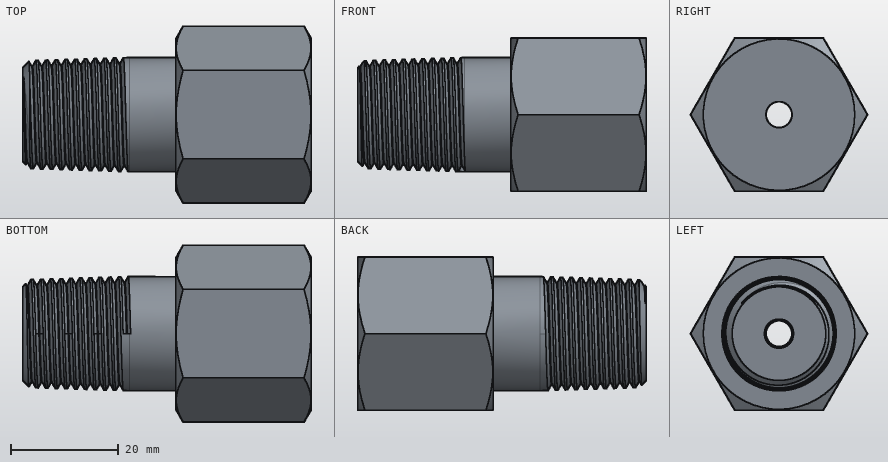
import cadquery as cq
import math

length = 53.85
hex_sides = 6
hex_across_flats = 28.6
hex_start = 28.55
hex_face_diameter = 28.2
hex_chamfer_angle = 30.0

shank_diameter = 21.3
nose_diameter = 17.45
thread_length = 19.9
diameter_taper = 1 / 16
nose_chamfer_angle = 45.0

thread_turns = 11
groove_angle = 60.0
groove_depth = 1.1
groove_root_width = 0.15
groove_end = 19.45
groove_overlap = 0.1
groove_sections = 4
turns_per_section = 3

bore_diameter = 4.8
bore_mouth_diameter = 5.45

pitch = thread_length / thread_turns
section_length = turns_per_section * pitch
hex_across_corners = hex_across_flats / math.cos(math.pi / hex_sides)


def crest_radius(x):
    """Radius of the tapered thread crest at a distance x from the male end."""
    return (shank_diameter - diameter_taper * (thread_length - x)) / 2


def make_hexagon():
    """Hexagon with corners on the Y axis and both ends turned to a cone."""
    prism = (
        cq.Workplane("YZ", origin=(hex_start, 0, 0))
        .polygon(hex_sides, hex_across_corners)
        .extrude(length - hex_start)
    )
    face_radius = hex_face_diameter / 2
    corner_radius = hex_across_corners / 2
    chamfer_length = (corner_radius - face_radius) * math.tan(math.radians(hex_chamfer_angle))
    envelope = (
        cq.Workplane("XY")
        .moveTo(hex_start, 0)
        .lineTo(hex_start, face_radius)
        .lineTo(hex_start + chamfer_length, corner_radius)
        .lineTo(length - chamfer_length, corner_radius)
        .lineTo(length, face_radius)
        .lineTo(length, 0)
        .close()
        .revolve(360, (0, 0, 0), (1, 0, 0))
    )
    return prism.intersect(envelope)


def make_male_end():
    """Chamfered nose, tapered thread blank and cylindrical shank."""
    nose_radius = nose_diameter / 2
    nose_slope = math.tan(math.radians(nose_chamfer_angle))
    chamfer_length = (crest_radius(0) - nose_radius) / (nose_slope - diameter_taper / 2)
    return (
        cq.Workplane("XY")
        .moveTo(0, 0)
        .lineTo(0, nose_radius)
        .lineTo(chamfer_length, crest_radius(chamfer_length))
        .lineTo(thread_length, shank_diameter / 2)
        .lineTo(hex_start, shank_diameter / 2)
        .lineTo(hex_start, 0)
        .close()
        .revolve(360, (0, 0, 0), (1, 0, 0))
    )


def make_groove_section(section_start):
    """A few turns of the V groove, starting and ending at the bottom of the thread."""
    root_radius = crest_radius(section_start) - groove_depth
    mouth_radius = crest_radius(section_start) + groove_overlap
    root_half = groove_root_width / 2
    mouth_half = root_half + (mouth_radius - root_radius) * math.tan(math.radians(groove_angle / 2))
    taper_angle = math.degrees(math.atan(diameter_taper / 2))
    corners = [
        (root_radius, -root_half),
        (mouth_radius, -mouth_half),
        (mouth_radius, mouth_half),
        (root_radius, root_half),
    ]

    edges = [
        cq.Wire.makeHelix(pitch, section_length, radius, angle=taper_angle)
        .translate(cq.Vector(0, 0, offset))
        for radius, offset in corners
    ]
    faces = [cq.Face.makeRuledSurface(edges[i - 1], edges[i]) for i in range(len(edges))]
    for end in (0, 1):
        end_corners = [edge.positionAt(end) for edge in edges]
        faces.append(cq.Face.makeFromWires(cq.Wire.makePolygon(end_corners, close=True)))
    groove = cq.Workplane(cq.Solid.makeSolid(cq.Shell.makeShell(faces)))

    return groove.rotate((0, 0, 0), (0, 1, 0), 90).translate((section_start, 0, 0))


def cut_thread(blank):
    """Cut the groove in short sections that join end to end, from the nose inwards."""
    groove_start = groove_end - groove_sections * section_length
    for index in range(groove_sections):
        blank = blank.cut(make_groove_section(groove_start + index * section_length))
    return blank


def make_bore():
    """Through bore with a 45 degree countersink at the male end."""
    bore_radius = bore_diameter / 2
    mouth_radius = bore_mouth_diameter / 2
    return (
        cq.Workplane("XY")
        .moveTo(0, 0)
        .lineTo(0, mouth_radius)
        .lineTo(mouth_radius - bore_radius, bore_radius)
        .lineTo(length, bore_radius)
        .lineTo(length, 0)
        .close()
        .revolve(360, (0, 0, 0), (1, 0, 0))
    )


threaded_end = cut_thread(make_male_end())
result = threaded_end.union(make_hexagon()).cut(make_bore())